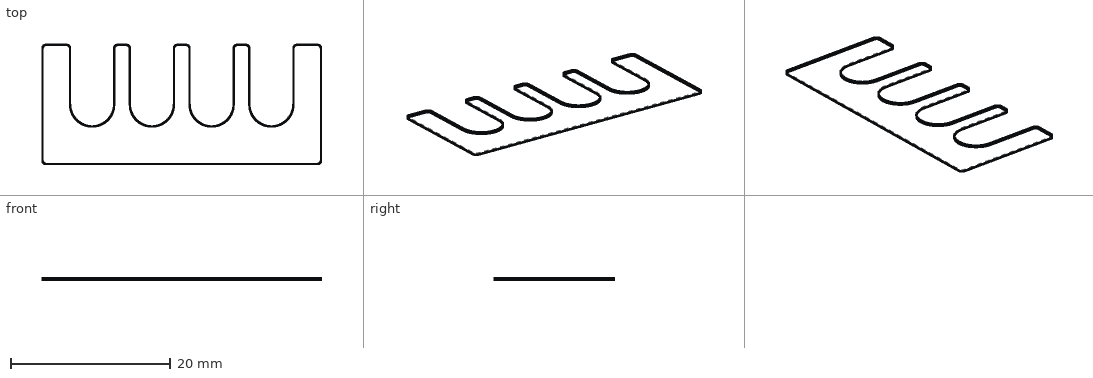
import cadquery as cq

plate_length = 35.0
plate_width = 15.0
plate_thickness = 0.25
corner_radius = 0.5

slot_count = 4
slot_pitch = 7.5
slot_width = 5.5
slot_radius = slot_width / 2
slot_arc_center_y = 0.0
open_edge_y = plate_width / 2


def make_plate():
    """Flat rectangular plate centred on X and Y, resting on Z = 0."""
    return cq.Workplane("XY").box(
        plate_length, plate_width, plate_thickness, centered=(True, True, False)
    )


def make_slot(center_x):
    """Cutter for one slot: straight sides ending in a half circle."""
    left = center_x - slot_radius
    right = center_x + slot_radius
    return (
        cq.Workplane("XY")
        .moveTo(left, open_edge_y)
        .lineTo(left, slot_arc_center_y)
        .threePointArc(
            (center_x, slot_arc_center_y - slot_radius), (right, slot_arc_center_y)
        )
        .lineTo(right, open_edge_y)
        .close()
        .extrude(plate_thickness)
    )


def cut_slots(plate):
    """Cut the evenly spaced slots, centred along the plate length."""
    first_x = -slot_pitch * (slot_count - 1) / 2
    for index in range(slot_count):
        plate = plate.cut(make_slot(first_x + index * slot_pitch))
    return plate


def round_corners(plate):
    """Round the outer plate corners and the finger tips."""
    plate = plate.faces(">Y").edges("|Z").fillet(corner_radius)
    return plate.faces("<Y").edges("|Z").fillet(corner_radius)


result = round_corners(cut_slots(make_plate()))